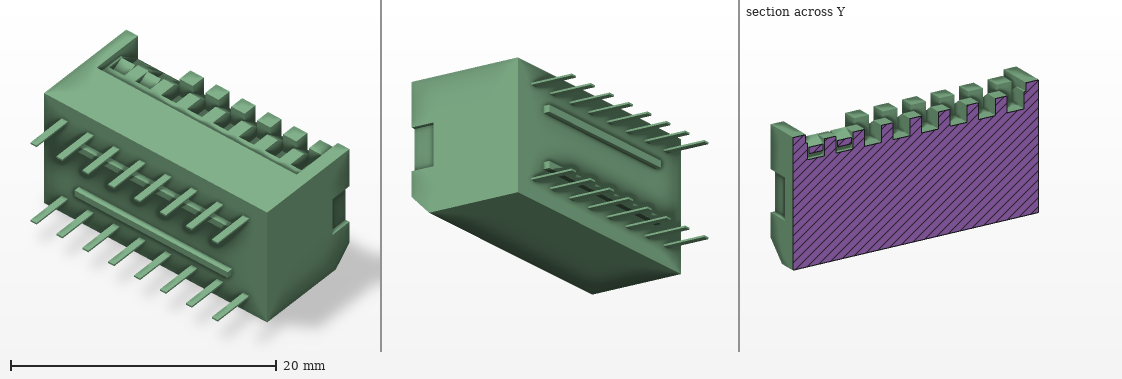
import cadquery as cq
import math


length = 21.88
height = 10.8
overall_depth = 13.4
pin_reach = 3.7
body_depth = overall_depth - pin_reach
bottom_chamfer = 1.6
top = height / 2

recess_length = 19.6
recess_width = 4.85
recess_depth = 0.7
slope_width = 2.01
slope_angle = 38.0
slope_drop = slope_width * math.tan(math.radians(slope_angle))
recess_floor = top - recess_depth

notch_depth = 0.4
notch_width = slope_width
notch_height = 3.5

way_count = 8
pitch = 2.54
way_positions = [(i - (way_count - 1) / 2) * pitch for i in range(way_count)]
pressed_ways = (0, 1)

slot_length = 1.49
slot_reach = 3.59
slot_depth = 2.08
slot_floor = top - slot_depth

lever_length = 1.31
lever_thickness = 1.3
lever_height = 3.83
lever_tilt = 30.0
lever_setback = 0.88
lever_clearance = 0.4
lever_pivot_y = body_depth - lever_setback
lever_pivot_z = top - lever_clearance - lever_height

pin_width = 0.6
pin_thickness = 0.15
pin_row_spacing = 7.61
rail_length = 15.0
rail_reach = 0.53
rail_thickness = 0.57
rail_spacing = 4.5


def block(x_size, y_range, z_range, x_center=0.0):
    """Box centred on x_center that spans the given Y and Z ranges."""
    y_min, y_max = y_range
    z_min, z_max = z_range
    return (
        cq.Workplane("XY")
        .box(x_size, y_max - y_min, z_max - z_min, centered=(True, False, False))
        .translate((x_center, y_min, z_min))
    )


def make_housing():
    return (
        block(length, (0, body_depth), (-top, top))
        .edges(">Y and <Z")
        .chamfer(bottom_chamfer)
    )


def make_recess():
    """Flat floor that falls away in a slope towards the back."""
    slope_start = body_depth - slope_width
    return (
        cq.Workplane("YZ")
        .moveTo(body_depth - recess_width, top)
        .lineTo(body_depth - recess_width, recess_floor)
        .lineTo(slope_start, recess_floor)
        .lineTo(body_depth, recess_floor - slope_drop)
        .lineTo(body_depth, top)
        .close()
        .extrude(recess_length / 2, both=True)
    )


def make_notch(side):
    return block(
        notch_depth,
        (body_depth - notch_width, body_depth),
        (-notch_height / 2, notch_height / 2),
        side * (length - notch_depth) / 2,
    )


def make_slot(x):
    return block(slot_length, (body_depth - slot_reach, body_depth), (slot_floor, top), x)


def make_lever(x, tilt):
    """Lever standing on its pivot, tilted towards the pin side."""
    return (
        block(lever_length, (-lever_thickness / 2, lever_thickness / 2), (0, lever_height))
        .rotate((0, 0, 0), (1, 0, 0), tilt)
        .translate((x, lever_pivot_y, lever_pivot_z))
    )


def make_pin(x, z):
    return block(pin_width, (-pin_reach, 0), (z - pin_thickness / 2, z + pin_thickness / 2), x)


def make_rail(z):
    return block(rail_length, (-rail_reach, 0), (z - rail_thickness / 2, z + rail_thickness / 2))


result = make_housing().cut(make_recess())

for side in (-1, 1):
    result = result.cut(make_notch(side))

for way, x in enumerate(way_positions):
    tilt = lever_tilt if way in pressed_ways else 0.0
    result = result.cut(make_slot(x)).union(make_lever(x, tilt))

for side in (-1, 1):
    result = result.union(make_rail(side * rail_spacing / 2))
    for x in way_positions:
        result = result.union(make_pin(x, side * pin_row_spacing / 2))